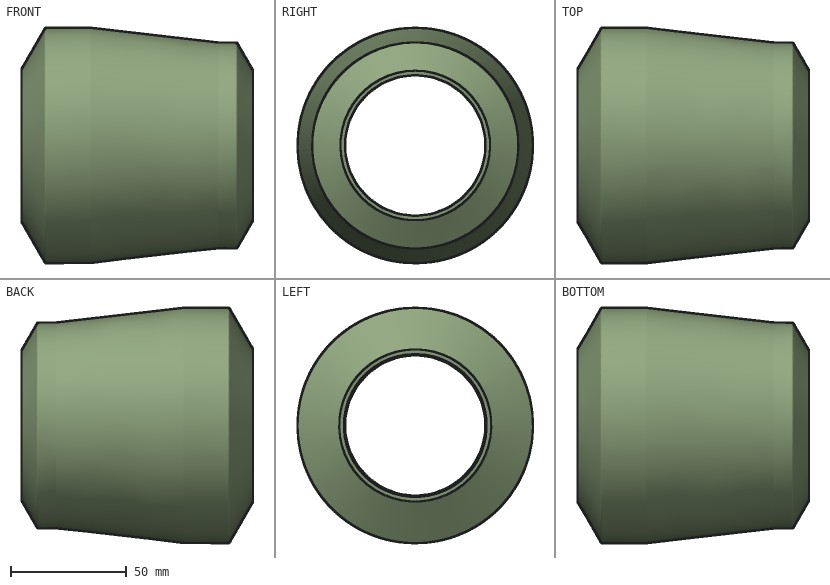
import cadquery as cq
import math

length = 100.0
large_outer_diameter = 101.6
small_outer_diameter = 88.9
large_end_bore = 61.6
small_end_bore = 60.5
taper_start = 30.0
taper_end = 85.0
bore_taper_start = 17.0
bevel_angle = 30.0
root_face = 2.0
bevel_edge_radius = 1.0

large_radius = large_outer_diameter / 2
small_radius = small_outer_diameter / 2
large_bore_radius = large_end_bore / 2
small_bore_radius = small_end_bore / 2
large_root_radius = large_bore_radius + root_face
small_root_radius = small_bore_radius + root_face


def bevel_depth(outer_radius, root_radius):
    """Axial length of the weld bevel between two radii."""
    return (outer_radius - root_radius) * math.tan(math.radians(bevel_angle))


large_bevel_end = bevel_depth(large_radius, large_root_radius)
small_bevel_start = length - bevel_depth(small_radius, small_root_radius)


def make_body():
    """Half section revolved about X: bevels, cylinders, taper and bore."""
    half_section = [
        (0, large_bore_radius),
        (0, large_root_radius),
        (large_bevel_end, large_radius),
        (taper_start, large_radius),
        (taper_end, small_radius),
        (small_bevel_start, small_radius),
        (length, small_root_radius),
        (length, small_bore_radius),
        (taper_end, small_bore_radius),
        (bore_taper_start, large_bore_radius),
    ]
    return cq.Workplane("XZ").polyline(half_section).close().revolve(360, (0, 0, 0), (1, 0, 0))


def round_bevel_edges(body):
    """Round the outer edge where each bevel meets its cylinder."""
    margin = 0.1
    for edge_x, edge_radius in ((large_bevel_end, large_radius), (small_bevel_start, small_radius)):
        reach = edge_radius + margin
        near_edge = cq.selectors.BoxSelector(
            (edge_x - margin, -reach, -reach),
            (edge_x + margin, reach, reach),
            boundingbox=True,
        )
        body = body.edges(near_edge).fillet(bevel_edge_radius)
    return body


result = round_bevel_edges(make_body())